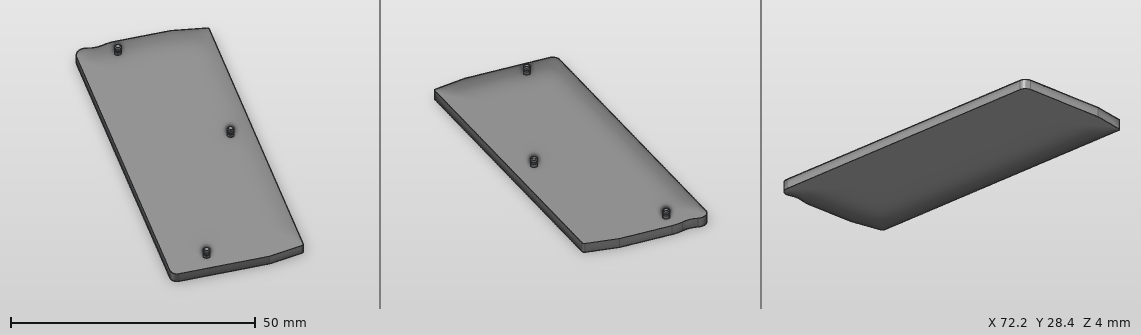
import cadquery as cq
import math

length = 72.2
width = 28.45
plate_thickness = 2.1
taper_inset = 1.4
taper_length = 7.65
back_corner_radius = 0.5
right_corner_radius = 1.5

foot_radius = 2.2
foot_center_x = 2.45
foot_center_y = foot_radius
foot_end_y = 2.8
hollow_middle_y = 4.55
shoulder_end_y = 8.9

pin_positions = [(3.6, 8.45), (34.2, 23.55), (68.5, 8.45)]
pin_top = 4.0
pin_radius = 0.7
pin_groove_radius = 0.65
pin_chamfer = 0.2
groove_bottom = 2.75
groove_top = 3.2


def make_plate():
    """Flat plate with tapered back corners and a wavy lower left edge."""
    foot_end_angle = math.asin((foot_end_y - foot_center_y) / foot_radius)
    foot_end_x = foot_center_x - foot_radius * math.cos(foot_end_angle)
    foot_middle = (
        foot_center_x - foot_radius * math.cos(math.pi / 4),
        foot_center_y - foot_radius * math.sin(math.pi / 4),
    )
    hollow_radius = (hollow_middle_y - foot_end_y) / math.sin(foot_end_angle)
    hollow_x = foot_end_x + hollow_radius * (1 - math.cos(foot_end_angle))
    hollow_end_y = 2 * hollow_middle_y - foot_end_y

    taper_start_y = width - taper_length
    plate = (
        cq.Workplane("XY")
        .moveTo(foot_center_x, 0)
        .lineTo(length, 0)
        .lineTo(length, taper_start_y)
        .lineTo(length - taper_inset, width)
        .lineTo(taper_inset, width)
        .lineTo(0, taper_start_y)
        .lineTo(0, shoulder_end_y)
        .tangentArcPoint((foot_end_x, hollow_end_y), relative=False)
        .threePointArc((hollow_x, hollow_middle_y), (foot_end_x, foot_end_y))
        .threePointArc(foot_middle, (foot_center_x, 0))
        .close()
        .extrude(plate_thickness)
    )
    plate = plate.edges("|Z and >Y").fillet(back_corner_radius)
    right_corner = cq.selectors.NearestToPointSelector((length, 0, plate_thickness / 2))
    return plate.edges("|Z").edges(right_corner).fillet(right_corner_radius)


def make_pin(x, y):
    """Chamfered round pin with a shallow groove, rooted in the plate."""
    root = plate_thickness / 2
    profile = [
        (0, root),
        (pin_radius, root),
        (pin_radius, groove_bottom),
        (pin_groove_radius, groove_bottom),
        (pin_groove_radius, groove_top),
        (pin_radius, groove_top),
        (pin_radius, pin_top - pin_chamfer),
        (pin_radius - pin_chamfer, pin_top),
        (0, pin_top),
    ]
    pin = cq.Workplane("XZ").polyline(profile).close().revolve(360, (0, 0, 0), (0, 1, 0))
    return pin.translate((x, y, 0))


result = make_plate()
for pin_x, pin_y in pin_positions:
    result = result.union(make_pin(pin_x, pin_y))